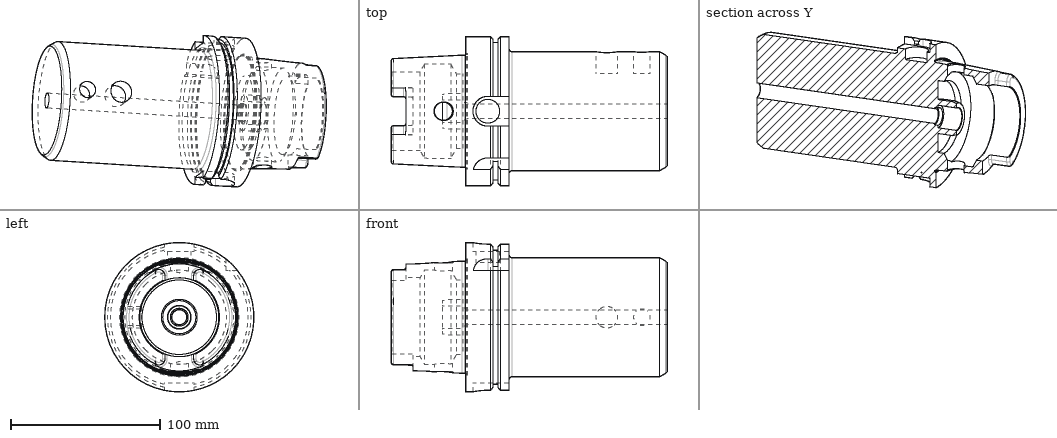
import cadquery as cq
import math

TOTAL_LENGTH = 185.0
FLANGE_START = 50.0
FLANGE_WIDTH = 29.0
FLANGE_END = FLANGE_START + FLANGE_WIDTH

SHANK_LARGE_R = 75.3 / 2
TAPER_RATIO = 0.05
COLLAR_LENGTH = 2.4
SHANK_END = FLANGE_START - COLLAR_LENGTH
SHANK_TIP_R = SHANK_LARGE_R - TAPER_RATIO * SHANK_END
TIP_ROUND = 1.7

RELIEF_OUTER_R = 38.8
RELIEF_LIP_CHAMFER = 0.5
RELIEF_INNER_R = 38.1
RELIEF_FLARE_START = FLANGE_START - 0.7
RELIEF_FLOOR_X = FLANGE_START + 1.1

SLOT_HALF_WIDTH = 9.6
TOP_SLOT_DEPTH = 9.8
BOTTOM_SLOT_DEPTH = 14.6
KEY_ROUND = 4.0
KEY_OUTER_R = 35.2
SLOT_FLOOR_FILLET = 1.5
SLOT_OVERCUT = 1.2
EDGE_TOLERANCE = 0.02

BORE_MOUTH_R = 53.0 / 2
BORE_MOUTH_CHAMFER = 0.46
BORE_INNER_R = 50.0 / 2
UNDERCUT_R = 63.0 / 2
UNDERCUT_START = 19.5
UNDERCUT_FULL_START = UNDERCUT_START + (UNDERCUT_R - BORE_MOUTH_R) * math.tan(math.radians(30))
UNDERCUT_FULL_END = 40.0
UNDERCUT_END = UNDERCUT_FULL_END + (UNDERCUT_R - BORE_INNER_R) * math.tan(math.radians(30))
BORE_DEPTH = 48.1
TUBE_R = 24.0 / 2
TUBE_TIP = 34.2
TUBE_CHAMFER_LENGTH = 3.3
TUBE_CHAMFER_DEPTH = 1.0
TUBE_BORE_R = 15.4 / 2
TUBE_BORE_CHAMFER = 0.28
COOLANT_R = 10.0 / 2
COUNTERBORE_R = 12.0 / 2
COUNTERBORE_DEPTH = 2.8

ACCESS_HOLE_X = 35.0
ACCESS_HOLE_R = 12.0 / 2
ACCESS_SINK_R = 13.3 / 2
ACCESS_SINK_DEPTH = 0.7
ACCESS_HOLE_START = TUBE_R + 1.8
ACCESS_OVERCUT = 1.8

FLANGE_R = 100.0 / 2
GROOVE_X = 69.84
GROOVE_FLOOR_WIDTH = 3.1
GROOVE_FLOOR_R = 46.0
GROOVE_LIP_WIDTH = 1.7
GROOVE_LIP_DEPTH = 2.0

KEYWAY_HALF_WIDTH = 10.0
KEYWAY_END_X = 64.8
KEYWAY_FLOOR_Z = 44.0
DIMPLE_R = 16.0 / 2
DIMPLE_DEPTH = 7.4
NOTCH_FLOOR_Z = 31.5
NOTCH_WALL_Y = -31.3

BODY_R = 80.0 / 2
NECK_FILLET = 2.0
BODY_TAPER_END_R = 75.3 / 2
BODY_TAPER_LENGTH = (BODY_R - BODY_TAPER_END_R) / math.tan(math.radians(30))
END_CHAMFER = 1.1

SCREW_HOLES = [(144.5, 14.5), (168.0, 11.1)]
SCREW_HOLE_DEPTH = 14.8


def turned_outside():
    """Flange and body behind the shank, revolved about X."""
    taper_end = TOTAL_LENGTH - END_CHAMFER
    taper_start = taper_end - BODY_TAPER_LENGTH
    half_floor = GROOVE_FLOOR_WIDTH / 2
    half_top = half_floor + GROOVE_LIP_WIDTH
    neck_mid = NECK_FILLET * (1 - math.sqrt(0.5))
    profile = (
        cq.Workplane("XY")
        .moveTo(RELIEF_FLOOR_X, 0)
        .lineTo(RELIEF_FLOOR_X, RELIEF_OUTER_R)
        .lineTo(FLANGE_START + RELIEF_LIP_CHAMFER, RELIEF_OUTER_R)
        .lineTo(FLANGE_START, RELIEF_OUTER_R + RELIEF_LIP_CHAMFER)
        .lineTo(FLANGE_START, FLANGE_R)
        .lineTo(GROOVE_X - half_top, FLANGE_R)
        .lineTo(GROOVE_X - half_floor, FLANGE_R - GROOVE_LIP_DEPTH)
        .lineTo(GROOVE_X - half_floor, GROOVE_FLOOR_R)
        .lineTo(GROOVE_X + half_floor, GROOVE_FLOOR_R)
        .lineTo(GROOVE_X + half_floor, FLANGE_R - GROOVE_LIP_DEPTH)
        .lineTo(GROOVE_X + half_top, FLANGE_R)
        .lineTo(FLANGE_END, FLANGE_R)
        .lineTo(FLANGE_END, BODY_R + NECK_FILLET)
        .threePointArc(
            (FLANGE_END + neck_mid, BODY_R + neck_mid),
            (FLANGE_END + NECK_FILLET, BODY_R),
        )
        .lineTo(taper_start, BODY_R)
        .lineTo(taper_end, BODY_TAPER_END_R)
        .lineTo(TOTAL_LENGTH, BODY_TAPER_END_R - END_CHAMFER)
        .lineTo(TOTAL_LENGTH, 0)
        .close()
    )
    return profile.revolve(360, (0, 0, 0), (1, 0, 0))


def drive_slot(depth):
    """Slot on the +Z side whose walls roll outward into the shank surface."""
    round_y = SLOT_HALF_WIDTH + KEY_ROUND
    round_z = math.sqrt((KEY_OUTER_R - KEY_ROUND) ** 2 - round_y**2)
    reach = KEY_OUTER_R / (KEY_OUTER_R - KEY_ROUND)
    tangent = (round_y * reach, round_z * reach)
    outward = math.atan2(round_z, round_y)
    mid = (math.pi + outward) / 2
    arc_mid = (round_y + KEY_ROUND * math.cos(mid), round_z + KEY_ROUND * math.sin(mid))
    outer = (tangent[0] * SLOT_OVERCUT, tangent[1] * SLOT_OVERCUT)
    return (
        cq.Workplane("YZ")
        .moveTo(-SLOT_HALF_WIDTH, 0)
        .lineTo(SLOT_HALF_WIDTH, 0)
        .lineTo(SLOT_HALF_WIDTH, round_z)
        .threePointArc(arc_mid, tangent)
        .lineTo(*outer)
        .lineTo(-outer[0], outer[1])
        .lineTo(-tangent[0], tangent[1])
        .threePointArc((-arc_mid[0], arc_mid[1]), (-SLOT_HALF_WIDTH, round_z))
        .close()
        .extrude(depth)
        .faces(">X")
        .edges("|Z or %CIRCLE")
        .fillet(SLOT_FLOOR_FILLET)
    )


def lies_on_bore(edge):
    """True for an edge that follows the inner wall of the bore."""
    middle = edge.positionAt(0.5)
    return math.hypot(middle.y, middle.z) < BORE_INNER_R + EDGE_TOLERANCE


def shank():
    """Tapered shank with two drive slots, hollow only as deep as the slots."""
    cone = (
        cq.Workplane("XY")
        .polyline([
            (0, 0),
            (0, SHANK_TIP_R),
            (SHANK_END, SHANK_LARGE_R),
            (RELIEF_FLARE_START, SHANK_LARGE_R),
            (RELIEF_FLOOR_X, RELIEF_INNER_R),
            (RELIEF_FLOOR_X, 0),
        ])
        .close()
        .revolve(360, (0, 0, 0), (1, 0, 0))
    )
    bottom_slot = drive_slot(BOTTOM_SLOT_DEPTH).rotate((0, 0, 0), (1, 0, 0), 180)
    slotted = cone.cut(drive_slot(TOP_SLOT_DEPTH)).cut(bottom_slot)
    core = cq.Workplane("YZ").circle(BORE_INNER_R).extrude(BOTTOM_SLOT_DEPTH)
    hollow = slotted.cut(core)
    tip_edges = hollow.faces("<X").edges().filter(lambda edge: not lies_on_bore(edge))
    return tip_edges.fillet(TIP_ROUND)


def bore():
    """Stepped bore around the coolant tube, revolved about X."""
    cavity = (
        cq.Workplane("XY")
        .polyline([
            (0, 0),
            (0, BORE_MOUTH_R + BORE_MOUTH_CHAMFER),
            (BORE_MOUTH_CHAMFER, BORE_MOUTH_R),
            (UNDERCUT_START, BORE_MOUTH_R),
            (UNDERCUT_FULL_START, UNDERCUT_R),
            (UNDERCUT_FULL_END, UNDERCUT_R),
            (UNDERCUT_END, BORE_INNER_R),
            (BORE_DEPTH, BORE_INNER_R),
            (BORE_DEPTH, TUBE_R),
            (TUBE_TIP + TUBE_CHAMFER_LENGTH, TUBE_R),
            (TUBE_TIP, TUBE_R - TUBE_CHAMFER_DEPTH),
            (TUBE_TIP, TUBE_BORE_R + TUBE_BORE_CHAMFER),
            (TUBE_TIP + TUBE_BORE_CHAMFER, TUBE_BORE_R),
            (BORE_DEPTH, TUBE_BORE_R),
            (BORE_DEPTH, COUNTERBORE_R),
            (BORE_DEPTH + COUNTERBORE_DEPTH, COUNTERBORE_R),
            (BORE_DEPTH + COUNTERBORE_DEPTH, COOLANT_R),
            (TOTAL_LENGTH, COOLANT_R),
            (TOTAL_LENGTH, 0),
        ])
        .close()
    )
    return cavity.revolve(360, (0, 0, 0), (1, 0, 0))


def access_hole():
    """Countersunk radial hole through the +Z shank wall."""
    surface_z = SHANK_TIP_R + TAPER_RATIO * ACCESS_HOLE_X
    sink_z = surface_z - ACCESS_SINK_DEPTH
    profile = (
        cq.Workplane("XZ")
        .polyline([
            (0, ACCESS_HOLE_START),
            (ACCESS_HOLE_R, ACCESS_HOLE_START),
            (ACCESS_HOLE_R, sink_z),
            (ACCESS_SINK_R, surface_z),
            (ACCESS_SINK_R, surface_z + ACCESS_OVERCUT),
            (0, surface_z + ACCESS_OVERCUT),
        ])
        .close()
    )
    return profile.revolve(360, (0, 0, 0), (0, 1, 0)).translate((ACCESS_HOLE_X, 0, 0))


def milled_slot(center_y, floor_z):
    """Round-ended slot along X, open toward the body and upward."""
    length = FLANGE_END - KEYWAY_END_X
    height = FLANGE_R - floor_z
    base = cq.Workplane("XY", origin=(KEYWAY_END_X, center_y, floor_z))
    rounded_end = base.circle(KEYWAY_HALF_WIDTH).extrude(height)
    straight = base.center(length / 2, 0).rect(length, 2 * KEYWAY_HALF_WIDTH).extrude(height)
    return rounded_end.union(straight)


def keyway_dimple():
    """Round blind recess in the floor of the +Z keyway."""
    base = cq.Workplane("XY", origin=(KEYWAY_END_X, 0, KEYWAY_FLOOR_Z))
    return base.circle(DIMPLE_R).extrude(-DIMPLE_DEPTH)


def screw_hole(x, diameter):
    """Blind radial hole in the +Y side of the body."""
    surface = cq.Workplane("XZ", origin=(x, BODY_R, 0))
    return surface.circle(diameter / 2).extrude(SCREW_HOLE_DEPTH)


result = turned_outside().union(shank()).cut(bore())
for angle in (0, 180):
    for cutter in (access_hole(), milled_slot(0, KEYWAY_FLOOR_Z)):
        result = result.cut(cutter.rotate((0, 0, 0), (1, 0, 0), angle))
result = result.cut(keyway_dimple())
result = result.cut(milled_slot(NOTCH_WALL_Y - KEYWAY_HALF_WIDTH, NOTCH_FLOOR_Z))
for hole_x, hole_diameter in SCREW_HOLES:
    result = result.cut(screw_hole(hole_x, hole_diameter))